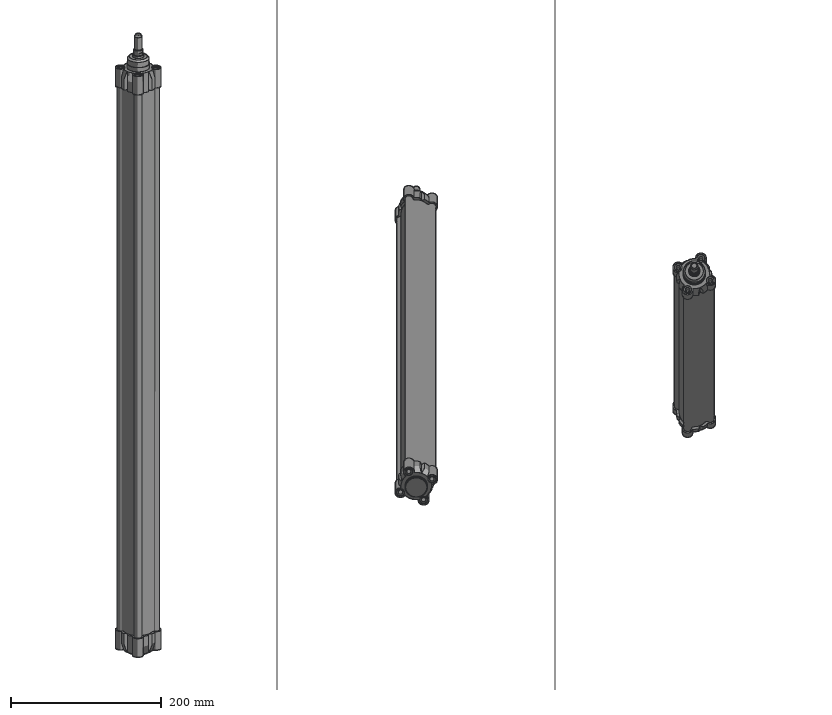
import cadquery as cq
import math


head_side = 47.0
head_length = 27.0
stroke = 750.0
zero_stroke_length = 94.0
collar_diameter = 30.0
rear_spigot_length = 4.0
front_collar_length = 16.0
rod_extension = 27.0
thread_length = 21.0
screw_pitch = 32.5

rear_head_bottom = rear_spigot_length
rear_head_top = rear_head_bottom + head_length
front_head_top = rear_head_bottom + zero_stroke_length + stroke
front_head_bottom = front_head_top - head_length
collar_top = front_head_top + front_collar_length
rod_shoulder = front_head_top + rod_extension
barrel_length = front_head_bottom - rear_head_top

tube_diameter = 40.0
lobe_diameter = 10.6
lobe_fillet_radius = 3.0

core_radius = head_side / 2
post_diameter = head_side - screw_pitch
taper_height = 12.0
taper_angle = 15.5
core_end_radius = core_radius - taper_height * math.tan(math.radians(taper_angle))
groove_bottom_radius = tube_diameter / 2
groove_cut_half_width = core_radius - groove_bottom_radius

seat_diameter = 10.3
seat_depth = 1.5
screw_hole_diameter = 6.0
screw_hole_depth = 16.0

collar_upper_diameter = 29.0
collar_base_height = 6.0
collar_chamfer = 2.5
lip_diameter = 15.0
lip_height = 3.0
lip_top = collar_top + lip_height

spigot_chamfer = 1.0

rod_diameter = 12.0
shoulder_chamfer = 1.0
thread_diameter = 10.0
thread_tip_length = 3.0
thread_tip_depth = 1.5
flats_width = 10.0
flats_height = 3.5


def at_height(z):
    return cq.Workplane("XY").workplane(offset=z)


def disc(z, diameter, length):
    return at_height(z).circle(diameter / 2).extrude(length)


def corner_cylinders(z, pitch, diameter, length):
    corners = at_height(z).rect(pitch, pitch, forConstruction=True).vertices()
    return corners.circle(diameter / 2).extrude(length)


def make_barrel():
    tube = disc(rear_head_top, tube_diameter, barrel_length)
    barrel = tube.union(corner_cylinders(rear_head_top, screw_pitch, lobe_diameter, barrel_length))
    return barrel.edges("|Z").fillet(lobe_fillet_radius)


def make_core():
    """Round middle of a head, tapered toward its outer end, with a V groove down each side."""
    profile = [
        (0, 0),
        (core_radius, 0),
        (core_radius, head_length - taper_height),
        (core_end_radius, head_length),
        (0, head_length),
    ]
    core = cq.Workplane("XZ").polyline(profile).close().revolve(360, (0, 0), (0, 1))
    groove_points = [
        (groove_bottom_radius, 0),
        (core_radius, groove_cut_half_width),
        (core_radius, -groove_cut_half_width),
    ]
    groove = cq.Workplane("XY").polyline(groove_points).close().extrude(head_length)
    for side in range(4):
        core = core.cut(groove.rotate((0, 0, 0), (0, 0, 1), side * 90))
    return core


def make_head():
    """A head with its barrel side at Z = 0 and its outer end face at the top."""
    head = make_core().union(corner_cylinders(0, screw_pitch, post_diameter, head_length))
    seat_floor = head_length - seat_depth
    head = head.cut(corner_cylinders(seat_floor, screw_pitch, seat_diameter, seat_depth))
    hole_floor = head_length - screw_hole_depth
    return head.cut(corner_cylinders(hole_floor, screw_pitch, screw_hole_diameter, screw_hole_depth))


def make_front_collar():
    base = disc(front_head_top, collar_diameter, collar_base_height)
    upper = disc(front_head_top, collar_upper_diameter, front_collar_length)
    collar = base.union(upper.faces(">Z").chamfer(collar_chamfer))
    return collar.union(disc(collar_top, lip_diameter, lip_height))


def make_rear_spigot():
    return disc(0, collar_diameter, rear_spigot_length).faces("<Z").chamfer(spigot_chamfer)


def make_housing():
    front_head = make_head().translate((0, 0, front_head_bottom))
    rear_head = make_head().rotate((0, 0, 0), (1, 0, 0), 180).translate((0, 0, rear_head_top))
    housing = make_barrel().union(front_head).union(rear_head)
    housing = housing.union(make_front_collar()).union(make_rear_spigot())
    return housing.cut(disc(front_head_bottom, rod_diameter, lip_top - front_head_bottom))


def make_rod():
    rod = disc(front_head_bottom, rod_diameter, rod_shoulder - front_head_bottom)
    rod = rod.faces(">Z").chamfer(shoulder_chamfer)
    flats_bottom = at_height(lip_top)
    flats_ring = flats_bottom.rect(2 * rod_diameter, rod_diameter).rect(flats_width, rod_diameter)
    rod = rod.cut(flats_ring.extrude(flats_height))
    thread = disc(rod_shoulder, thread_diameter, thread_length)
    return rod.union(thread.faces(">Z").chamfer(thread_tip_length, thread_tip_depth))


housing = make_housing()
rod = make_rod()
result = cq.Compound.makeCompound([housing.val(), rod.val()])